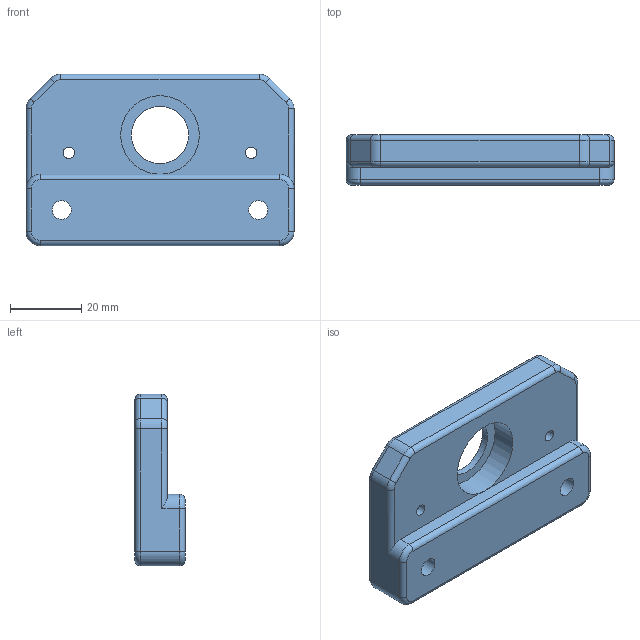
import cadquery as cq

width = 75.0
depth = 14.0
height = 48.0

plate_thickness = 9.0
ledge_height = 20.0
corner_cut = 8.0
corner_radius = 4.0
edge_radius = 1.5

seat_diameter = 22.0
seat_depth = 7.0
bore_diameter = 16.0

plate_hole_diameter = 3.2
plate_hole_spacing = 51.0
plate_hole_z = 26.0
ledge_hole_diameter = 5.3
ledge_hole_spacing = 55.0

half_width = width / 2
plate_front = depth - plate_thickness
bore_z = ledge_height + seat_diameter / 2
ledge_hole_z = ledge_height / 2


def plane_at(y):
    """Sketch plane at depth y: local x is +X, local y is +Z, extruding toward -Y."""
    return cq.Workplane("XZ", origin=(0, y, 0))


def make_plate():
    """Full-height plate with clipped top corners and all edges rounded."""
    outline = [
        (-half_width, 0),
        (half_width, 0),
        (half_width, height - corner_cut),
        (half_width - corner_cut, height),
        (-half_width + corner_cut, height),
        (-half_width, height - corner_cut),
    ]
    plate = plane_at(depth).polyline(outline).close().extrude(plate_thickness)
    plate = plate.edges("|Y").fillet(corner_radius)
    return plate.faces("<Y or >Y").edges().fillet(edge_radius)


def make_ledge():
    """Bottom ledge, sunk into the plate past the plate's rounded front edge."""
    ledge_back = plate_front + plate_thickness / 2
    ledge = (
        plane_at(ledge_back)
        .center(0, ledge_height / 2)
        .rect(width, ledge_height)
        .extrude(ledge_back)
    )
    ledge = ledge.edges("|Y").fillet(corner_radius)
    return ledge.faces("<Y").edges().fillet(edge_radius)


def hole_pair(diameter, spacing, z):
    """Two full-depth cylinders spaced evenly about X = 0."""
    centres = [(-spacing / 2, z), (spacing / 2, z)]
    return plane_at(depth).pushPoints(centres).circle(diameter / 2).extrude(depth)


def stepped_bore():
    """Through bore with a wider seat sunk into the plate's front face."""
    bore = plane_at(depth).center(0, bore_z).circle(bore_diameter / 2).extrude(plate_thickness)
    seat = plane_at(plate_front + seat_depth).center(0, bore_z).circle(seat_diameter / 2).extrude(seat_depth)
    return bore.union(seat)


result = (
    make_plate()
    .union(make_ledge())
    .cut(stepped_bore())
    .cut(hole_pair(plate_hole_diameter, plate_hole_spacing, plate_hole_z))
    .cut(hole_pair(ledge_hole_diameter, ledge_hole_spacing, ledge_hole_z))
)